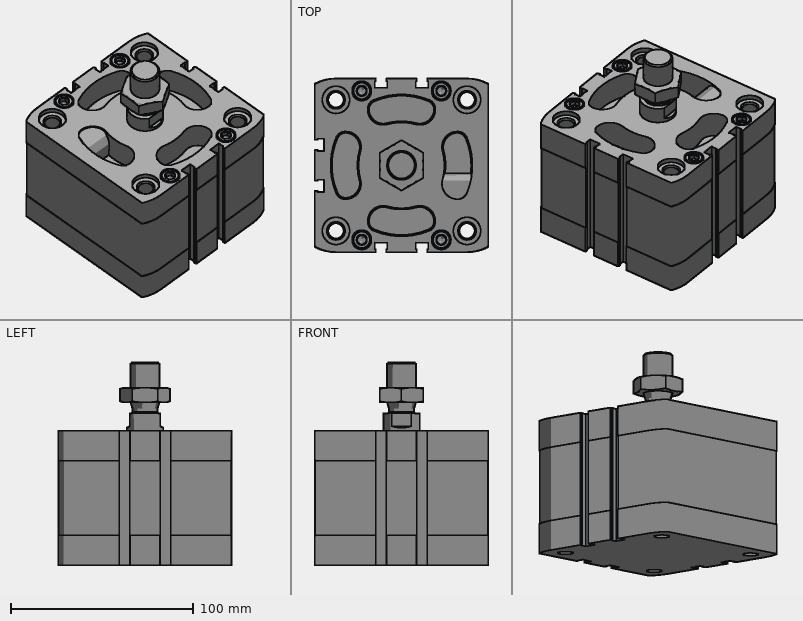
import cadquery as cq
import math

OVERALL_HEIGHT = 111.4

WIDTH = 95.5
HOUSING_HEIGHT = 74.0
COVER_HEIGHT = 16.5
CORNER_TANGENT_X = 36.1
COVER_CORNER_RADIUS = 24.5
BARREL_INSET = 0.1
BARREL_CORNER_RADIUS = 22.3
CORNER_ROUNDING = 1.0

SLOT_OFFSET = 11.3
SLOT_MOUTH = 5.6
SLOT_WIDTH = 6.7
SLOT_DEPTH = 5.1
SLOT_LIP = 1.7
SLOT_FLARE = 0.3

POCKET_OUTER_RADIUS = 39.0
POCKET_WAIST_RADIUS = 23.5
POCKET_DEPTH = 14.7
POCKET_DRAFT = 3.0
LOBE_OFFSET = 10.0
LOBE_DISTANCE = 30.7
LOBE_RADIUS = 8.6
LOBE_BLEND = 5.6

STEP_DEPTH = 0.8
STEP_Y = -4.3
STEP_ROUNDING = 6.9

MOUNT_OFFSET = 36.0
MOUNT_HOLE_DIAMETER = 8.4
MOUNT_SINK_DIAMETER = 10.0
MOUNT_BORE_DIAMETER = 15.0
MOUNT_BORE_DEPTH = 2.7

SCREW_X = 21.8
SCREW_Y = 40.9
SCREW_BORE_DIAMETER = 10.7
SCREW_BORE_DEPTH = 1.1
SCREW_HEAD_DIAMETER = 10.0
SCREW_FACE_DIAMETER = 9.0
SOCKET_FLATS = 5.0
SOCKET_DEPTH = 2.8
SOCKET_POINT_DEPTH = 1.1

THREAD_DIAMETER = 16.0
THREAD_TIP_DIAMETER = 14.4
COLLAR_DIAMETER = 20.0
COLLAR_TOP = 83.4
COLLAR_FLATS = 16.9
COLLAR_FLAT_BOTTOM = 76.4
COLLAR_SLOPE_BOTTOM = 75.5
NECK_DIAMETER = 13.8
NECK_FOOT_DIAMETER = 14.8
NECK_FOOT_HEIGHT = 0.8
NECK_TOP = 86.0

NUT_FLATS = 24.0
NUT_BOTTOM = 89.5
NUT_HEIGHT = 8.0
NUT_CHAMFER_ANGLE = 18.0

HALF_WIDTH = WIDTH / 2
HEX_HALF_SECTOR = 30
COLLAR_RADIUS = COLLAR_DIAMETER / 2


def about_z(shape, angle):
    """Shape turned about the Z axis by an angle in degrees."""
    return shape.rotate((0, 0, 0), (0, 0, 1), angle)


def on_circle(centre, radius, angle):
    """Point on a circle at an angle in radians."""
    return (centre[0] + radius * math.cos(angle), centre[1] + radius * math.sin(angle))


def direction(start, end):
    """Angle in radians of the line from start to end, from 0 to a full turn."""
    return math.atan2(end[1] - start[1], end[0] - start[0]) % math.tau


def hexagon_corner_radius(flats):
    """Corner radius of a hexagon from its width across flats."""
    return flats / 2 / math.cos(math.radians(HEX_HALF_SECTOR))


def hexagon(flats, bottom, height):
    """Hexagonal prism on the Z axis with two flats facing +X and -X."""
    prism = cq.Workplane("XY").polygon(6, 2 * hexagon_corner_radius(flats)).extrude(height)
    return about_z(prism, HEX_HALF_SECTOR).translate((0, 0, bottom))


def disc(diameter, bottom, height):
    """Cylinder on the Z axis."""
    return cq.Workplane("XY").workplane(offset=bottom).circle(diameter / 2).extrude(height)


def turned(profile):
    """Solid of revolution about Z from (radius, z) points; both ends lie on the axis."""
    return cq.Workplane("XZ").polyline(profile).close().revolve(360, (0, 0, 0), (0, 1, 0))


def housing_section(half_width, corner_radius, bottom, height):
    """Square block whose corners fall away in wide arcs tangent to the Y faces."""
    run = half_width - CORNER_TANGENT_X
    drop = corner_radius - math.sqrt(corner_radius**2 - run**2)
    mid_drop = corner_radius - math.sqrt(corner_radius**2 - (run / 2) ** 2)
    mid_x = CORNER_TANGENT_X + run / 2
    corner_y = half_width - drop
    mid_y = half_width - mid_drop
    block = (
        cq.Workplane("XY")
        .workplane(offset=bottom)
        .moveTo(-CORNER_TANGENT_X, half_width)
        .lineTo(CORNER_TANGENT_X, half_width)
        .threePointArc((mid_x, mid_y), (half_width, corner_y))
        .lineTo(half_width, -corner_y)
        .threePointArc((mid_x, -mid_y), (CORNER_TANGENT_X, -half_width))
        .lineTo(-CORNER_TANGENT_X, -half_width)
        .threePointArc((-mid_x, -mid_y), (-half_width, -corner_y))
        .lineTo(-half_width, corner_y)
        .threePointArc((-mid_x, mid_y), (-CORNER_TANGENT_X, half_width))
        .close()
        .extrude(height)
    )
    return block.edges("|Z").edges("<X or >X").fillet(CORNER_ROUNDING)


def t_slot_pair():
    """Two T-slots in the -Y face; the lips between them are flared outwards."""
    face = -HALF_WIDTH
    mouth_in = SLOT_OFFSET - SLOT_MOUTH / 2
    mouth_out = SLOT_OFFSET + SLOT_MOUTH / 2
    wide_in = SLOT_OFFSET - SLOT_WIDTH / 2
    wide_out = SLOT_OFFSET + SLOT_WIDTH / 2
    slot = (
        cq.Workplane("XY")
        .moveTo(mouth_out, face)
        .lineTo(mouth_out, face + SLOT_LIP)
        .lineTo(wide_out, face + SLOT_LIP)
        .lineTo(wide_out, face + SLOT_DEPTH)
        .lineTo(wide_in, face + SLOT_DEPTH)
        .lineTo(wide_in, face + SLOT_LIP)
        .lineTo(mouth_in, face + SLOT_LIP)
        .lineTo(mouth_in, face + SLOT_FLARE)
        .lineTo(mouth_in - SLOT_FLARE, face)
        .close()
        .extrude(HOUSING_HEIGHT)
    )
    return slot.union(slot.mirror("YZ"))


def kidney_pocket():
    """Drafted kidney-shaped cutter on the +X side, open at the top face."""
    axis = (0, 0)
    lobe = (LOBE_DISTANCE, LOBE_OFFSET)

    reach = POCKET_OUTER_RADIUS - LOBE_BLEND
    lobe_reach = LOBE_RADIUS - LOBE_BLEND
    lobe_polar = math.hypot(*lobe)
    swing = math.acos((reach**2 + lobe_polar**2 - lobe_reach**2) / (2 * reach * lobe_polar))
    blend_start = direction(axis, lobe) + swing
    blend = on_circle(axis, reach, blend_start)
    blend_end = direction(lobe, blend)

    gap = LOBE_DISTANCE - POCKET_WAIST_RADIUS
    waist_bend = (LOBE_OFFSET**2 + gap**2 - LOBE_RADIUS**2) / (2 * (LOBE_RADIUS - gap))
    waist = (POCKET_WAIST_RADIUS - waist_bend, 0)
    lobe_exit = direction(lobe, waist)

    outer_end = on_circle(axis, POCKET_OUTER_RADIUS, blend_start)
    blend_mid = on_circle(blend, LOBE_BLEND, (blend_start + blend_end) / 2)
    lobe_start = on_circle(lobe, LOBE_RADIUS, blend_end)
    lobe_mid = on_circle(lobe, LOBE_RADIUS, (blend_end + lobe_exit) / 2)
    lobe_end = on_circle(lobe, LOBE_RADIUS, lobe_exit)

    def mirrored(point):
        return (point[0], -point[1])

    return (
        cq.Workplane("XY")
        .workplane(offset=HOUSING_HEIGHT)
        .moveTo(*mirrored(outer_end))
        .threePointArc((POCKET_OUTER_RADIUS, 0), outer_end)
        .threePointArc(blend_mid, lobe_start)
        .threePointArc(lobe_mid, lobe_end)
        .threePointArc((POCKET_WAIST_RADIUS, 0), mirrored(lobe_end))
        .threePointArc(mirrored(lobe_mid), mirrored(lobe_start))
        .threePointArc(mirrored(blend_mid), mirrored(outer_end))
        .close()
        .extrude(-POCKET_DEPTH, taper=POCKET_DRAFT)
    )


def pocket_step():
    """Block with one rounded top edge that raises the -Y end of the +X pocket."""
    top = HOUSING_HEIGHT - STEP_DEPTH
    block = (
        cq.Workplane("XY")
        .box(HALF_WIDTH, HALF_WIDTH, POCKET_DEPTH, centered=False)
        .translate((0, STEP_Y - HALF_WIDTH, top - POCKET_DEPTH))
    )
    return block.edges(">Z and >Y").fillet(STEP_ROUNDING)


def mounting_hole():
    """Through-hole cutter with a countersink at the floor of a counterbore."""
    floor = HOUSING_HEIGHT - MOUNT_BORE_DEPTH
    hole_radius = MOUNT_HOLE_DIAMETER / 2
    sink_radius = MOUNT_SINK_DIAMETER / 2
    bore_radius = MOUNT_BORE_DIAMETER / 2
    return turned([
        (0, 0),
        (hole_radius, 0),
        (hole_radius, floor - (sink_radius - hole_radius)),
        (sink_radius, floor),
        (bore_radius, floor),
        (bore_radius, HOUSING_HEIGHT),
        (0, HOUSING_HEIGHT),
    ])


def screw_recess():
    """Cutter that leaves a chamfered screw head standing in its counterbore."""
    floor = HOUSING_HEIGHT - SCREW_BORE_DEPTH
    head_radius = SCREW_HEAD_DIAMETER / 2
    face_radius = SCREW_FACE_DIAMETER / 2
    head = turned([
        (0, floor),
        (head_radius, floor),
        (head_radius, HOUSING_HEIGHT - (head_radius - face_radius)),
        (face_radius, HOUSING_HEIGHT),
        (0, HOUSING_HEIGHT),
    ])
    bore = disc(SCREW_BORE_DIAMETER, floor, SCREW_BORE_DEPTH)
    return bore.cut(head).union(screw_socket())


def screw_socket():
    """Hexagon socket with a round lead-in and a conical floor."""
    floor = HOUSING_HEIGHT - SOCKET_DEPTH
    flat_radius = SOCKET_FLATS / 2
    corner_radius = hexagon_corner_radius(SOCKET_FLATS)
    socket = hexagon(SOCKET_FLATS, floor, SOCKET_DEPTH)
    core = turned([
        (0, floor - SOCKET_POINT_DEPTH),
        (flat_radius, floor),
        (flat_radius, HOUSING_HEIGHT - (corner_radius - flat_radius)),
        (corner_radius, HOUSING_HEIGHT),
        (0, HOUSING_HEIGHT),
    ])
    return socket.union(core)


def make_housing():
    """Barrel and covers in one piece, with slots, pockets, mounting holes and screw heads."""
    barrel_height = HOUSING_HEIGHT - 2 * COVER_HEIGHT
    upper_base = HOUSING_HEIGHT - COVER_HEIGHT
    lower_cover = housing_section(HALF_WIDTH, COVER_CORNER_RADIUS, 0, COVER_HEIGHT)
    barrel = housing_section(HALF_WIDTH - BARREL_INSET, BARREL_CORNER_RADIUS, COVER_HEIGHT, barrel_height)
    upper_cover = housing_section(HALF_WIDTH, COVER_CORNER_RADIUS, upper_base, COVER_HEIGHT)
    body = lower_cover.union(barrel).union(upper_cover)

    for angle in (0, 180, -90):
        body = body.cut(about_z(t_slot_pair(), angle))

    body = body.cut(kidney_pocket().cut(pocket_step()))
    for angle in (90, 180, 270):
        body = body.cut(about_z(kidney_pocket(), angle))

    for side_x in (-1, 1):
        for side_y in (-1, 1):
            hole_place = (side_x * MOUNT_OFFSET, side_y * MOUNT_OFFSET, 0)
            screw_place = (side_x * SCREW_X, side_y * SCREW_Y, 0)
            body = body.cut(mounting_hole().translate(hole_place))
            body = body.cut(screw_recess().translate(screw_place))
    return body


def make_rod():
    """Collared rod that stands on the top face of the housing."""
    thread_radius = THREAD_DIAMETER / 2
    tip_radius = THREAD_TIP_DIAMETER / 2
    neck_radius = NECK_DIAMETER / 2
    foot_radius = NECK_FOOT_DIAMETER / 2
    rod = turned([
        (0, HOUSING_HEIGHT),
        (COLLAR_RADIUS, HOUSING_HEIGHT),
        (COLLAR_RADIUS, COLLAR_TOP),
        (foot_radius, COLLAR_TOP),
        (neck_radius, COLLAR_TOP + NECK_FOOT_HEIGHT),
        (neck_radius, NECK_TOP),
        (thread_radius, NUT_BOTTOM),
        (thread_radius, OVERALL_HEIGHT - (thread_radius - tip_radius)),
        (tip_radius, OVERALL_HEIGHT),
        (0, OVERALL_HEIGHT),
    ])
    flat = (
        cq.Workplane("YZ")
        .moveTo(COLLAR_FLATS / 2, COLLAR_TOP)
        .lineTo(COLLAR_FLATS / 2, COLLAR_FLAT_BOTTOM)
        .lineTo(COLLAR_RADIUS, COLLAR_SLOPE_BOTTOM)
        .lineTo(COLLAR_RADIUS, COLLAR_TOP)
        .close()
        .extrude(COLLAR_RADIUS, both=True)
    )
    return rod.cut(flat).cut(flat.mirror("XZ"))


def make_nut():
    """Hexagon nut with its corners chamfered by a cone on both faces."""
    face_radius = NUT_FLATS / 2
    corner_radius = hexagon_corner_radius(NUT_FLATS)
    chamfer_drop = (corner_radius - face_radius) * math.tan(math.radians(NUT_CHAMFER_ANGLE))
    top = NUT_BOTTOM + NUT_HEIGHT
    envelope = turned([
        (0, NUT_BOTTOM),
        (face_radius, NUT_BOTTOM),
        (corner_radius, NUT_BOTTOM + chamfer_drop),
        (corner_radius, top - chamfer_drop),
        (face_radius, top),
        (0, top),
    ])
    bore = disc(THREAD_DIAMETER, NUT_BOTTOM, NUT_HEIGHT)
    return hexagon(NUT_FLATS, NUT_BOTTOM, NUT_HEIGHT).intersect(envelope).cut(bore)


housing = make_housing()
rod = make_rod()
nut = make_nut()

result = cq.Compound.makeCompound([housing.solids().val(), rod.solids().val(), nut.solids().val()])